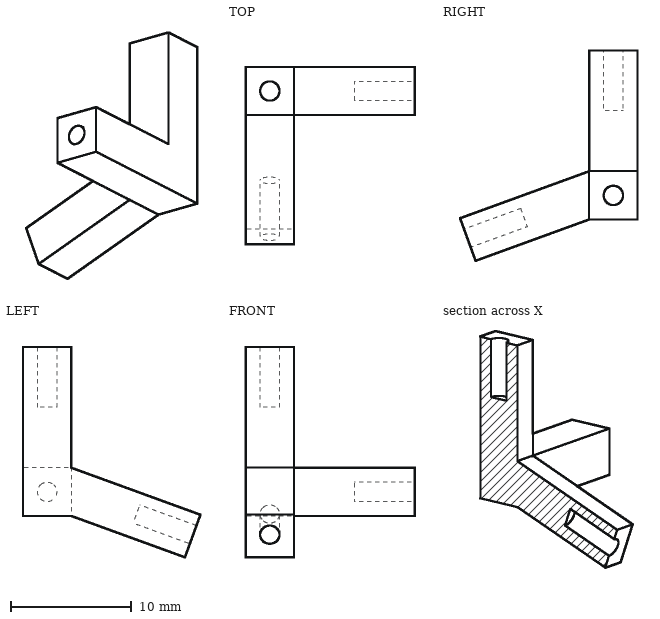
import cadquery as cq
import math

bar_width = 4.0
arm_reach = 10.0
tilt_angle = 20.0
hole_diameter = 1.6
hole_depth = 5.0

full_length = bar_width + arm_reach
half_width = bar_width / 2
tilt_cos = math.cos(math.radians(tilt_angle))
tilt_sin = math.sin(math.radians(tilt_angle))

lower_tip = (-arm_reach * tilt_cos, -arm_reach * tilt_sin)
end_face_length = bar_width * tilt_cos
upper_tip = (
    lower_tip[0] - end_face_length * tilt_sin,
    lower_tip[1] + end_face_length * tilt_cos,
)


def end_hole(mouth_center, inward):
    """Blind round hole cut from an arm end along the inward direction."""
    start = cq.Vector(*mouth_center)
    direction = cq.Vector(*inward)
    return cq.Workplane(cq.Solid.makeCylinder(hole_diameter / 2, hole_depth, start, direction))


bent_bar = (
    cq.Workplane("YZ")
    .polyline([
        (0, 0),
        (bar_width, 0),
        (bar_width, full_length),
        (0, full_length),
        (0, bar_width),
        upper_tip,
        lower_tip,
    ])
    .close()
    .extrude(bar_width)
)

side_arm = cq.Workplane("XY").box(full_length, bar_width, bar_width, centered=False)

tilted_hole_center = (
    half_width,
    lower_tip[0] - half_width * tilt_sin,
    lower_tip[1] + half_width * tilt_cos,
)
post_hole = end_hole((half_width, half_width, full_length), (0, 0, -1))
side_hole = end_hole((full_length, half_width, half_width), (-1, 0, 0))
tilted_hole = end_hole(tilted_hole_center, (0, tilt_cos, tilt_sin))

result = bent_bar.union(side_arm).cut(post_hole).cut(side_hole).cut(tilted_hole)